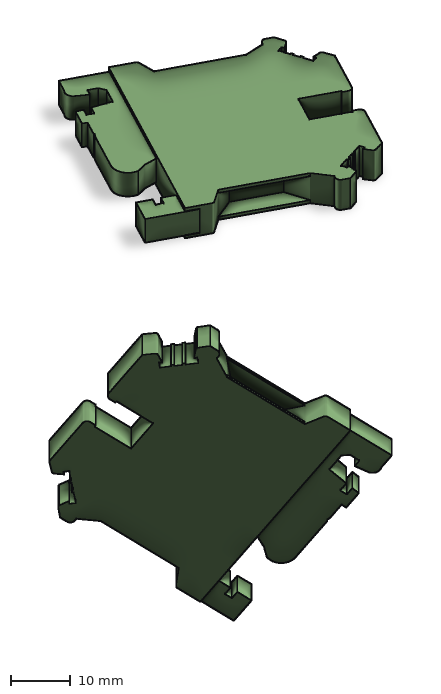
import cadquery as cq
import math

overall_width = 42.8
overall_length = 46.0

body_thickness = 6.2
body_height = 37.05
body_half_width = 21.35
waist_half_width = 17.95
waist_bottom = 6.9
waist_top = 23.0
shoulder_height = 5.05
shoulder_radius = 0.6

slot_half_width = 3.13
slot_floor = 27.5
lip_half_gap = 2.8
lip_bottom = 35.05
lip_radius = 0.9

seat_upper = (12.87, 33.2)
seat_lower = (17.43, 28.5)
rib_starts = (1.95, 3.8)
rib_width = 0.55
rib_height = 0.28

jaw_start_x = 13.25
jaw_tip = (14.95, 35.2)
jaw_tip_radius = 0.5
jaw_barb = ((13.95, 33.47), (13.6, 33.9))

horn_barb = ((18.2, 29.35), (17.75, 29.65))
horn_top = 30.5
horn_top_start_x = 19.4
horn_top_end_x = 19.75
horn_side_top = 28.95
horn_bottom = 26.58
horn_bottom_end_x = 19.95
horn_radius = 0.9

recess_height = 4.87
recess_depth = 3.55
recess_floor_bottom = 9.95

foot_thickness = 4.87
foot_overlap = 2.57

foot_left = -20.95
foot_bottom = -8.85
hook_radius = 1.55
hook_center = (-17.45, body_height - overall_length + hook_radius)
hook_end_angle = -15
hook_tip_x = -15.6
hook_tip_y = -5.05

opening_left = -16.95
opening_side_top = -3.15
opening_top = -2.02
opening_top_start_x = -16.0
opening_top_end_x = -12.55

latch_groove_top = -6.0
latch_groove_bottom = -7.35
latch_groove_wall = -10.2
latch_groove_mouth_top_x = -11.95
latch_groove_mouth_bottom_x = -11.75
toe_left = -11.6
toe_right = -8.0
latch_bottom = -7.85
nick_start = -4.5
nick_flat_end = -4.2
nick_end = -4.0
nick_depth = 0.15

nose_center = (5.0, -4.87)
nose_arc_end_y = -3.9
nose_bevel = (6.45, -2.3)
nose_root_x = 5.35

right_foot_left = 16.4
right_foot_right = overall_width - body_half_width
right_foot_bottom = -7.05
right_groove_wall = 18.0
right_groove_top = -2.65
right_groove_bottom = -4.1


def point_on_circle(center, radius, angle):
    """Point on a circle at an angle in degrees."""
    turn = math.radians(angle)
    return (center[0] + radius * math.cos(turn), center[1] + radius * math.sin(turn))


def add_lines(outline, points):
    """Continue an outline with straight lines through the points."""
    for point in points:
        outline = outline.lineTo(*point)
    return outline


def add_arc(outline, center, radius, middle_angle, end_angle):
    """Continue an outline with an arc through one angle to another."""
    return outline.threePointArc(
        point_on_circle(center, radius, middle_angle),
        point_on_circle(center, radius, end_angle),
    )


def extrude_centered(outline, thickness):
    """Close an outline and extrude it equally above and below z = 0."""
    return outline.close().extrude(thickness / 2, both=True)


def seat_points():
    """Corner points along the label seat, including its small square ribs."""
    length = math.dist(seat_upper, seat_lower)
    along = ((seat_lower[0] - seat_upper[0]) / length, (seat_lower[1] - seat_upper[1]) / length)
    outward = (-along[1], along[0])

    def place(distance, height):
        return tuple(seat_upper[i] + along[i] * distance + outward[i] * height for i in (0, 1))

    points = [seat_upper]
    for start in rib_starts:
        end = start + rib_width
        points += [place(start, 0), place(start, rib_height), place(end, rib_height), place(end, 0)]
    return points + [seat_lower]


def make_half_body():
    """Right half of the plate."""
    lip_center = (lip_half_gap + lip_radius, body_height - lip_radius)
    horn_center = (body_half_width - horn_radius, horn_bottom + horn_radius)

    slot = [
        (0, slot_floor),
        (slot_half_width, slot_floor),
        (slot_half_width, lip_bottom),
        (lip_half_gap, lip_bottom),
        (lip_half_gap, lip_center[1]),
    ]
    jaw = [(jaw_start_x, body_height), jaw_tip, *jaw_barb]
    horn = [
        *horn_barb,
        (horn_top_start_x, horn_top),
        (horn_top_end_x, horn_top),
        (body_half_width, horn_side_top),
        (body_half_width, horn_center[1]),
    ]
    waist_and_base = [
        (horn_bottom_end_x, horn_bottom),
        (waist_half_width, waist_top),
        (waist_half_width, waist_bottom),
        (body_half_width, shoulder_height),
        (body_half_width, 0),
    ]

    outline = add_lines(cq.Workplane("XY"), slot)
    outline = add_arc(outline, lip_center, lip_radius, 135, 90)
    outline = add_lines(outline, jaw + seat_points() + horn)
    outline = add_arc(outline, horn_center, horn_radius, -45, -90)
    outline = add_lines(outline, waist_and_base)
    half = extrude_centered(outline, body_thickness)

    for corner, radius in (
        ((body_half_width, shoulder_height, 0), shoulder_radius),
        ((*jaw_tip, 0), jaw_tip_radius),
    ):
        nearest = cq.selectors.NearestToPointSelector(corner)
        half = half.edges("|Z").edges(nearest).fillet(radius)
    return half


def make_recess():
    """Volume removed from the right side of the waist."""
    floor = waist_half_width - recess_depth
    outline = cq.Workplane("XY").moveTo(waist_half_width, waist_top)
    corners = [
        (floor, waist_top - recess_depth),
        (floor, recess_floor_bottom),
        (waist_half_width, waist_bottom),
    ]
    return extrude_centered(add_lines(outline, corners), recess_height)


def make_left_foot():
    """Hook, rail opening and latch with a rounded nose."""
    hook_rise = foot_bottom - hook_center[1]
    hook_start_x = hook_center[0] - math.sqrt(hook_radius**2 - hook_rise**2)
    nose_radius = nose_center[1] - latch_bottom
    nose_end_angle = math.degrees(math.asin((nose_arc_end_y - nose_center[1]) / nose_radius))

    rail_opening = [
        (hook_tip_x, hook_tip_y),
        (opening_left, hook_tip_y),
        (opening_left, opening_side_top),
        (opening_top_start_x, opening_top),
        (opening_top_end_x, opening_top),
    ]
    latch_groove = [
        (latch_groove_mouth_top_x, latch_groove_top),
        (latch_groove_wall, latch_groove_top),
        (latch_groove_wall, latch_groove_bottom),
        (latch_groove_mouth_bottom_x, latch_groove_bottom),
    ]
    latch_underside = [
        (toe_left, foot_bottom),
        (toe_right, foot_bottom),
        (toe_right, latch_bottom),
        (nick_start, latch_bottom),
        (nick_start, latch_bottom + nick_depth),
        (nick_flat_end, latch_bottom + nick_depth),
        (nick_end, latch_bottom),
        (nose_center[0], latch_bottom),
    ]
    nose_back = [nose_bevel, (nose_root_x, 0), (nose_root_x, foot_overlap)]

    outline = cq.Workplane("XY").moveTo(foot_left, foot_overlap)
    outline = add_lines(outline, [(foot_left, foot_bottom), (hook_start_x, foot_bottom)])
    outline = add_arc(outline, hook_center, hook_radius, -60, hook_end_angle)
    outline = add_lines(outline, rail_opening + latch_groove + latch_underside)
    outline = add_arc(outline, nose_center, nose_radius, -45, nose_end_angle)
    outline = add_lines(outline, nose_back)
    return extrude_centered(outline, foot_thickness)


def make_right_foot():
    """Straight foot with a square groove in its inner side."""
    outline = cq.Workplane("XY").moveTo(right_foot_left, foot_overlap)
    corners = [
        (right_foot_left, right_groove_top),
        (right_groove_wall, right_groove_top),
        (right_groove_wall, right_groove_bottom),
        (right_foot_left, right_groove_bottom),
        (right_foot_left, right_foot_bottom),
        (right_foot_right, right_foot_bottom),
        (right_foot_right, foot_overlap),
    ]
    return extrude_centered(add_lines(outline, corners), foot_thickness)


half_body = make_half_body().cut(make_recess())
body = half_body.union(half_body.mirror("YZ"))
result = body.union(make_left_foot()).union(make_right_foot()).clean()